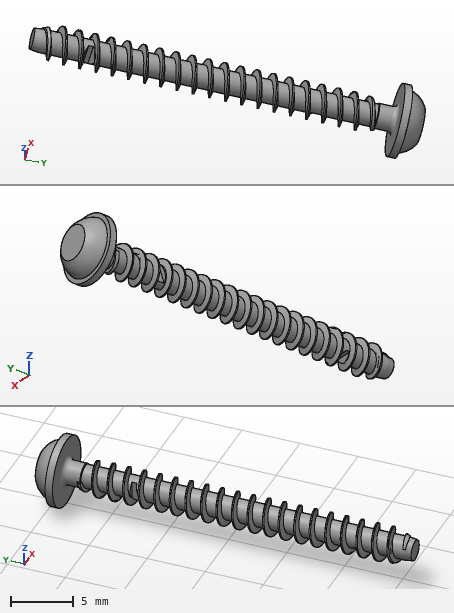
import cadquery as cq


total_length = 32.1
flange_diameter = 6.0
flange_radius = flange_diameter / 2
flange_thickness = 0.65
dome_height = 1.45
dome_base_radius = 2.6
dome_top_radius = 1.55
dome_mid_radius = 2.3
dome_mid_height = dome_height / 2

head_height = flange_thickness + dome_height
shaft_length = total_length - head_height
neck_radius = 1.03
neck_fillet = 0.42
neck_end = 1.55
core_radius = 0.95
tip_radius = 0.87
tip_taper_length = 0.65

full_turns = 18
full_turns_length = 24.1
pitch = full_turns_length / full_turns
thread_radius = 1.5
thread_start = 1.5
thread_grow_start = 0.95
thread_full_start = 2.85
thread_full_end = 28.1
thread_end = 29.53
envelope_radius = thread_radius + 0.03
thread_root_radius = 0.87
root_width = 0.45
crest_width = 0.13

side_notch_start = 5.85
side_notch_near_end = 6.23
side_notch_far_end = 6.8
side_notch_floor = 0.55
side_notch_half_width = 0.85
bottom_notch_start = 24.72
bottom_notch_end = 25.78
bottom_notch_floor_start = 25.17
bottom_notch_floor_end = 25.55
bottom_notch_floor = 0.45
cutter_reach = 1.3


def make_blank():
    """Head, neck and tapered core, turned as one profile."""
    profile = (
        cq.Workplane("XZ")
        .moveTo(0, -head_height)
        .lineTo(dome_top_radius, -head_height)
        .threePointArc(
            (dome_mid_radius, -flange_thickness - dome_mid_height),
            (dome_base_radius, -flange_thickness),
        )
        .lineTo(flange_radius, -flange_thickness)
        .lineTo(flange_radius, 0)
        .lineTo(neck_radius + neck_fillet, 0)
        .radiusArc((neck_radius, neck_fillet), neck_fillet)
        .lineTo(neck_radius, neck_end)
        .lineTo(core_radius, neck_end + neck_radius - core_radius)
        .lineTo(core_radius, shaft_length - tip_taper_length)
        .lineTo(tip_radius, shaft_length)
        .lineTo(0, shaft_length)
        .close()
    )
    return profile.revolve(360, (0, 0, 0), (0, 1, 0))


def make_notches():
    """A slant-edged flat on the -X side and a trapezoidal nick on the -Z side."""
    side_notch = (
        cq.Workplane("YZ", origin=(-cutter_reach, 0, 0))
        .polyline([
            (side_notch_half_width, side_notch_start),
            (-side_notch_half_width, side_notch_start),
            (-side_notch_half_width, side_notch_far_end),
            (side_notch_half_width, side_notch_near_end),
        ])
        .close()
        .extrude(cutter_reach - side_notch_floor)
    )
    bottom_notch = (
        cq.Workplane("YZ")
        .polyline([
            (-core_radius, bottom_notch_start),
            (-bottom_notch_floor, bottom_notch_floor_start),
            (-bottom_notch_floor, bottom_notch_floor_end),
            (-core_radius, bottom_notch_end),
        ])
        .close()
        .extrude(cutter_reach, both=True)
    )
    return side_notch.union(bottom_notch)


def make_thread():
    """Trapezoidal ridge on a helix, trimmed by an envelope with conical ends."""
    path = cq.Wire.makeHelix(pitch, thread_end - thread_start, thread_root_radius)
    ridge = (
        cq.Workplane("XZ")
        .polyline([
            (thread_root_radius, -root_width / 2),
            (thread_radius, -crest_width / 2),
            (thread_radius, crest_width / 2),
            (thread_root_radius, root_width / 2),
        ])
        .close()
        .sweep(cq.Workplane(path), isFrenet=True)
        .rotate((0, 0, 0), (0, 0, 1), 180)
        .translate((0, 0, thread_start))
    )
    envelope = (
        cq.Workplane("XZ")
        .polyline([
            (0, thread_grow_start),
            (neck_radius, thread_grow_start),
            (envelope_radius, thread_full_start),
            (envelope_radius, thread_full_end),
            (core_radius, thread_end),
            (0, thread_end),
        ])
        .close()
        .revolve(360, (0, 0, 0), (0, 1, 0))
    )
    return ridge.intersect(envelope)


screw = make_blank().cut(make_notches()).union(make_thread())
result = screw.rotate((0, 0, 0), (1, 0, 0), 90)